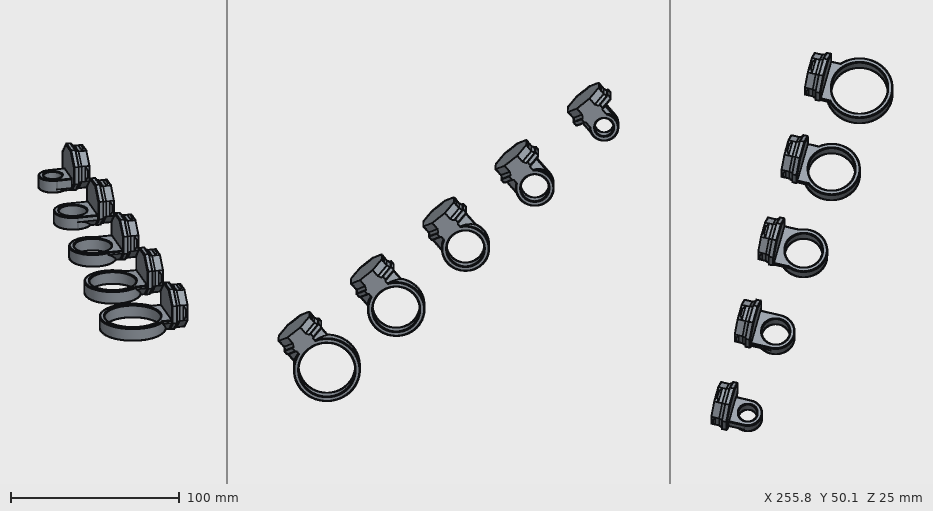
import cadquery as cq
import math

mount_count = 5
row_length = 255.8

octagon_sides = 8
flange_width = 26.5
head_width = 23.5
collar_width = 25.0
head_depth = 4.9
collar_depth = 2.0
flange_depth = 3.0
flange_chamfer = 0.5
front_width = flange_width - 2 * flange_chamfer
axis_height = head_width / 2
flange_back = -head_depth - collar_depth
flange_front = flange_back - flange_depth

bump_base_length = 9.2
bump_base_depth = 2.5
bump_tip_length = 4.5
bump_tip_depth = 0.8
bump_height = 0.65
bump_tip_setback = 0.5
bump_angles = (-90, 0, 90)

ring_height = 8.2
ring_wall = 3.0
edge_chamfer = 0.5
smallest_bore = 11.0
largest_bore = 33.3
bore_step = (largest_bore - smallest_bore) / (mount_count - 1)
bore_back = -13.8

largest_ring_radius = largest_bore / 2 + ring_wall
spacing = (row_length - flange_width / 2 - largest_ring_radius) / (mount_count - 1)


def octagon_sketch(width):
    """Regular octagon with flat top and sides, sized across its flats."""
    corner_radius = width / 2 / math.cos(math.pi / octagon_sides)
    return cq.Sketch().regularPolygon(corner_radius, octagon_sides, angle=180 / octagon_sides)


def plug_plane(y):
    """Workplane on the plug axis at Y, facing forward (-Y)."""
    return cq.Workplane("XZ", origin=(0, y, axis_height))


def octagon_prism(width, y, depth):
    return plug_plane(y).placeSketch(octagon_sketch(width)).extrude(depth)


def make_bump():
    """Ridge with four sloping sides on the upper face of the head."""
    tip_shift = (bump_base_depth - bump_tip_depth) / 2 - bump_tip_setback
    return (
        cq.Workplane("XY", origin=(0, -bump_base_depth / 2, head_width))
        .rect(bump_base_length, bump_base_depth)
        .workplane(offset=bump_height)
        .center(0, tip_shift)
        .rect(bump_tip_length, bump_tip_depth)
        .loft()
    )


def make_plug():
    head = octagon_prism(head_width, 0, head_depth)
    collar = (
        plug_plane(-head_depth)
        .placeSketch(
            octagon_sketch(head_width),
            octagon_sketch(collar_width).moved(cq.Location(cq.Vector(0, 0, collar_depth))),
        )
        .loft()
    )
    flange = octagon_prism(flange_width, flange_back, flange_depth)
    flange = flange.faces("<Y").chamfer(flange_chamfer)
    plug = head.union(collar).union(flange)
    bump = make_bump()
    for angle in bump_angles:
        plug = plug.union(bump.rotate((0, 0, axis_height), (0, 1, axis_height), angle))
    return plug


def make_arm(ring_diameter, ring_y):
    """Arm from the flange to the middle of the ring, its underside following the flange octagon."""
    width = min(ring_diameter, front_width)
    length = flange_front - ring_y
    slab = (
        cq.Workplane("XY")
        .box(width, length, ring_height, centered=(True, False, False))
        .translate((0, ring_y, 0))
        .edges("|Y and >Z")
        .chamfer(edge_chamfer)
    )
    return slab.intersect(octagon_prism(front_width, flange_front, length))


def make_bore(diameter, ring_y):
    """Cutter for the through bore with a countersink at each end."""
    radius = diameter / 2
    mouth_radius = radius + edge_chamfer
    return (
        cq.Workplane("XZ")
        .moveTo(0, 0)
        .lineTo(mouth_radius, 0)
        .lineTo(radius, edge_chamfer)
        .lineTo(radius, ring_height - edge_chamfer)
        .lineTo(mouth_radius, ring_height)
        .lineTo(0, ring_height)
        .close()
        .revolve(360, (0, 0, 0), (0, 1, 0))
        .translate((0, ring_y, 0))
    )


def make_mount(bore):
    """One complete mount, with the middle of its plug at X = 0."""
    ring_diameter = bore + 2 * ring_wall
    ring_y = bore_back - bore / 2
    ring = (
        cq.Workplane("XY", origin=(0, ring_y, 0))
        .circle(ring_diameter / 2)
        .extrude(ring_height)
        .edges()
        .chamfer(edge_chamfer)
    )
    mount = make_plug().union(make_arm(ring_diameter, ring_y)).union(ring)
    mount = mount.cut(make_bore(bore, ring_y))
    below_base = cq.Workplane("XY").box(row_length, row_length, flange_width).translate(
        (0, 0, -flange_width / 2)
    )
    return mount.cut(below_base)


mounts = []
for i in range(mount_count):
    mount = make_mount(smallest_bore + i * bore_step)
    mounts.append(mount.translate((i * spacing, 0, 0)).val())

result = cq.Compound.makeCompound(mounts)